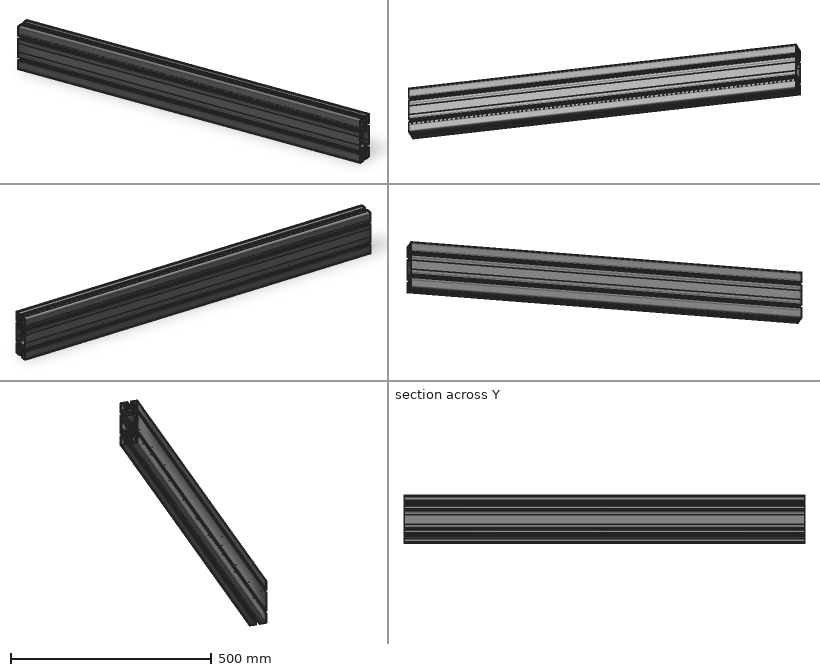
import cadquery as cq

length = 1000.0
width = 45.0
height = 120.0
corner_radius = 2.5

slot_opening = 8.3
slot_inner_width = 14.0
slot_depth = 16.0
slot_floor_width = 9.0
lip_thickness = 4.2
taper_depth = 4.0
side_slot_height = 30.0

chamber_skin = 2.7
corner_side_skin = 2.5
end_skin = 2.0
side_slot_web = 1.5
end_slot_web = 1.3

chamber_radius = 2.0
corner_cell_radius = 1.3
core_hole_diameter = 6.8
relief_width = 10.0
relief_height = 2.0
relief_middle = 39.0

pad_height = 24.0
pad_thickness = 1.0

half_width = width / 2
half_height = height / 2
half_inner = slot_inner_width / 2


def prism(section):
    """Extrude a closed YZ section along the whole rail."""
    return section.extrude(length / 2, both=True)


def bar(y_size, z_size, y_middle=0, z_middle=0):
    """Rectangular bar as long as the rail."""
    return prism(cq.Workplane("YZ").center(y_middle, z_middle).rect(y_size, z_size))


def rounded_bar(y_size, z_size, radius, y_middle=0, z_middle=0):
    """Rectangular bar with its four long edges rounded."""
    return bar(y_size, z_size, y_middle, z_middle).edges("|X").fillet(radius)


def slot_cutter(y_mouth, z_mouth, angle):
    """T-slot with a tapered floor; at angle 0 it opens upwards at the given mouth."""
    half_opening = slot_opening / 2
    half_floor = slot_floor_width / 2
    taper_start = taper_depth - slot_depth
    section = cq.Workplane("YZ").polyline([
        (-half_opening, 0),
        (-half_opening, -lip_thickness),
        (-half_inner, -lip_thickness),
        (-half_inner, taper_start),
        (-half_floor, -slot_depth),
        (half_floor, -slot_depth),
        (half_inner, taper_start),
        (half_inner, -lip_thickness),
        (half_opening, -lip_thickness),
        (half_opening, 0),
    ]).close()
    return prism(section).rotate((0, 0, 0), (1, 0, 0), angle).translate((0, y_mouth, z_mouth))


def chamber_cutter():
    """Middle chamber between the side slots, narrowed by a pad on each side wall."""
    inside_width = width - 2 * chamber_skin
    inside_height = 2 * (side_slot_height - half_inner - side_slot_web)
    chamber = rounded_bar(inside_width, inside_height, chamber_radius)
    for side in (-1, 1):
        pad_middle = side * (inside_width - pad_thickness) / 2
        chamber = chamber.cut(bar(pad_thickness, pad_height, pad_middle))
    return chamber


def corner_cell_cutter(y_side, z_side):
    """Closed cell beside an end slot, in the corner given by the two signs."""
    y_inner = half_inner + end_slot_web
    y_outer = half_width - corner_side_skin
    z_inner = side_slot_height + half_inner + side_slot_web
    z_outer = half_height - end_skin
    return rounded_bar(
        y_outer - y_inner,
        z_outer - z_inner,
        corner_cell_radius,
        y_side * (y_inner + y_outer) / 2,
        z_side * (z_inner + z_outer) / 2,
    )


result = rounded_bar(width, height, corner_radius).cut(chamber_cutter())

for z_side in (-1, 1):
    slot_axis = z_side * side_slot_height

    end_angle = 0 if z_side > 0 else 180
    result = result.cut(slot_cutter(0, z_side * half_height, end_angle))

    for y_side in (-1, 1):
        result = result.cut(slot_cutter(y_side * half_width, slot_axis, -90 * y_side))
        result = result.cut(corner_cell_cutter(y_side, z_side))

    core_hole = cq.Workplane("YZ").center(0, slot_axis).circle(core_hole_diameter / 2)
    result = result.cut(prism(core_hole))
    result = result.cut(bar(relief_width, relief_height, 0, z_side * relief_middle))